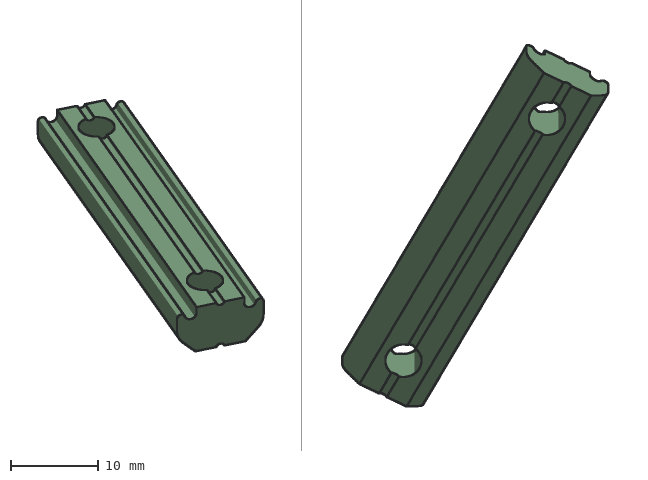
import cadquery as cq
import math

length = 45
width = 10.6
height = 6.0
half_width = width / 2

top_half_width = 2.92
base_half_width = 3.05
wing_top = 5.4
wing_radius = 0.5
channel_radius = 0.7
flank_radius = 2.4
flank_angle = math.radians(45)
groove_half_width = 0.5
groove_depth = 0.35

hole_diameter = 4.15
hole_spacing = 35.0

wing_y = half_width - wing_radius
wing_z = wing_top - wing_radius
channel_y = top_half_width + channel_radius
radius_sum = wing_radius + channel_radius
channel_z = wing_z + math.sqrt(radius_sum**2 - (wing_y - channel_y)**2)
channel_fraction = channel_radius / radius_sum
blend_y = channel_y + channel_fraction * (wing_y - channel_y)
blend_z = channel_z + channel_fraction * (wing_z - channel_z)

flank_y = half_width - flank_radius
slope_end_y = flank_y + flank_radius * math.cos(flank_angle)
slope_end_z = (slope_end_y - base_half_width) * math.tan(flank_angle)
flank_z = slope_end_z + flank_radius * math.sin(flank_angle)
flank_mid = (
    flank_y + flank_radius * math.cos(flank_angle / 2),
    flank_z - flank_radius * math.sin(flank_angle / 2),
)


def half_profile():
    """Return the +Y half of the cross-section."""
    return (
        cq.Workplane("YZ", origin=(-length / 2, 0, 0))
        .moveTo(0, 0)
        .lineTo(base_half_width, 0)
        .lineTo(slope_end_y, slope_end_z)
        .threePointArc(flank_mid, (half_width, flank_z))
        .lineTo(half_width, wing_z)
        .threePointArc((wing_y, wing_top), (blend_y, blend_z))
        .threePointArc((channel_y, channel_z - channel_radius), (top_half_width, channel_z))
        .lineTo(top_half_width, height)
        .lineTo(0, height)
        .close()
    )


def centre_groove(face_z, bottom_z):
    """Return a full-length cutter with an arc-shaped bottom, opening at face_z."""
    return (
        cq.Workplane("YZ", origin=(-length / 2, 0, 0))
        .moveTo(-groove_half_width, face_z)
        .threePointArc((0, bottom_z), (groove_half_width, face_z))
        .close()
        .extrude(length)
    )


half_bar = half_profile().extrude(length)
bar = half_bar.union(half_bar.mirror("XZ")).clean()

bar = bar.cut(centre_groove(height, height - groove_depth))
bar = bar.cut(centre_groove(0, groove_depth))

holes = (
    cq.Workplane("XY")
    .pushPoints([(-hole_spacing / 2, 0), (hole_spacing / 2, 0)])
    .circle(hole_diameter / 2)
    .extrude(height)
)

result = bar.cut(holes)